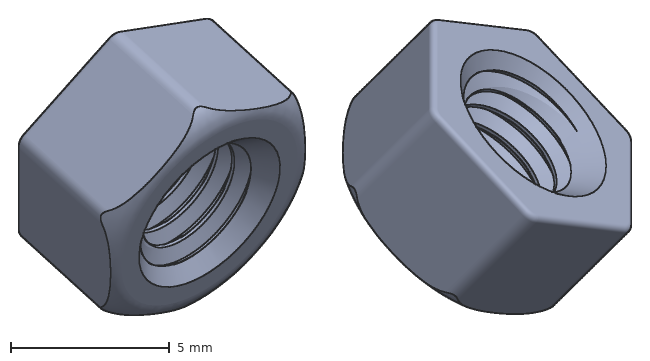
import cadquery as cq
import math

nut_height = 4.71
across_flats = 8.0
across_corners = 9.08
face_edge_radius = 0.2
crown_radius = 1.0
crown_face_radius = 3.61

major_diameter = 5.0
pitch = 0.8
thread_depth = 0.49
root_width = pitch / 8
flank_angle = 30.0
thread_phase = -60.0
bore_seam_angle = thread_phase + 190.0
groove_overcut = 0.03

mouth_diameter = 5.79
mouth_angle = 45.0

major_radius = major_diameter / 2
minor_radius = major_radius - thread_depth
sharp_corner_radius = across_flats / math.sqrt(3)
corner_rounding = (sharp_corner_radius - across_corners / 2) / (2 / math.sqrt(3) - 1)


def hexagon_blank():
    """Hexagonal prism with rounded corners and a rounded rim on the -X face."""
    blank = (
        cq.Workplane("YZ")
        .polygon(6, 2 * sharp_corner_radius)
        .extrude(nut_height)
        .rotate((0, 0, 0), (1, 0, 0), 90)
    )
    blank = blank.edges("|X").fillet(corner_rounding)
    return blank.faces("<X").edges().fillet(face_edge_radius)


def crown_envelope():
    """Round body whose +X rim is an arc tangent to the end face."""
    outer_radius = crown_face_radius + crown_radius
    diagonal = crown_radius * math.sqrt(0.5)
    arc_start_x = nut_height - crown_radius
    return (
        cq.Workplane("XY")
        .lineTo(0, outer_radius)
        .lineTo(arc_start_x, outer_radius)
        .threePointArc(
            (arc_start_x + diagonal, crown_face_radius + diagonal),
            (nut_height, crown_face_radius),
        )
        .lineTo(nut_height, 0)
        .close()
        .revolve(360, (0, 0, 0), (1, 0, 0))
    )


def bore_with_countersinks():
    """Bore at the thread's minor diameter, flared at both ends."""
    mouth_radius = mouth_diameter / 2
    flare_depth = (mouth_radius - minor_radius) / math.tan(math.radians(mouth_angle))
    return (
        cq.Workplane("XY")
        .lineTo(0, mouth_radius)
        .lineTo(flare_depth, minor_radius)
        .lineTo(nut_height - flare_depth, minor_radius)
        .lineTo(nut_height, mouth_radius)
        .lineTo(nut_height, 0)
        .close()
        .revolve(360, (0, 0, 0), (1, 0, 0))
        .rotate((0, 0, 0), (1, 0, 0), bore_seam_angle)
    )


def thread_groove():
    """Trapezoidal groove swept along a helix that runs one pitch past each face."""
    inner_radius = minor_radius - groove_overcut
    half_root = root_width / 2
    half_mouth = half_root + (major_radius - inner_radius) * math.tan(math.radians(flank_angle))
    length = nut_height + 2 * pitch
    path = cq.Workplane(obj=cq.Wire.makeHelix(pitch, length, major_radius, lefthand=True))
    groove = (
        cq.Workplane("XZ")
        .moveTo(inner_radius, -half_mouth)
        .lineTo(major_radius, -half_root)
        .lineTo(major_radius, half_root)
        .lineTo(inner_radius, half_mouth)
        .close()
        .sweep(path, isFrenet=True)
    )
    groove = groove.rotate((0, 0, 0), (1, 1, 1), 120)
    return groove.rotate((0, 0, 0), (1, 0, 0), thread_phase).translate((-pitch, 0, 0))


nut = hexagon_blank().intersect(crown_envelope())
result = nut.cut(bore_with_countersinks()).cut(thread_groove())